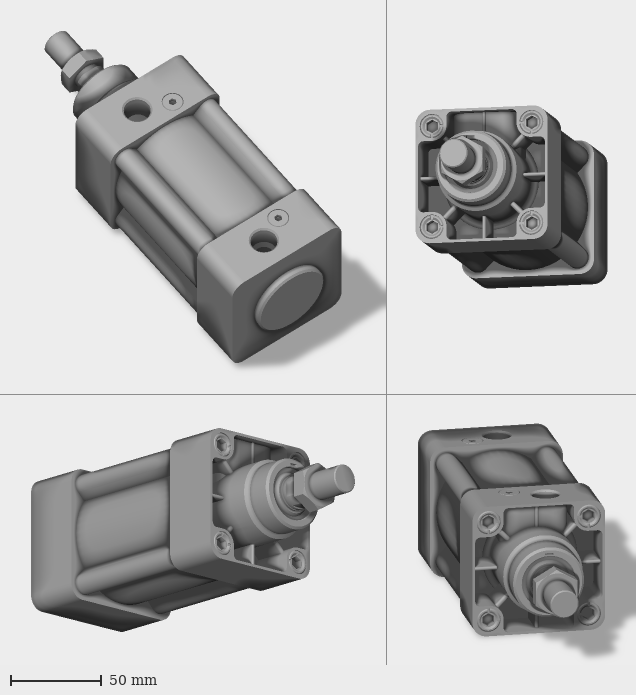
import cadquery as cq
import math


overall_length = 219.0
nut_front = 20.5
nut_thickness = 8.0
flats_start = 32.0
flats_end = 38.0
wiper_face = 40.3
hub_face = 41.6
hub_cone_start = 55.6
hub_cone_end = 57.8
front_cap_start = 68.8
cap_length = 32.8
rear_boss_length = 4.5
front_cap_end = front_cap_start + cap_length
rear_cap_end = overall_length - rear_boss_length
rear_cap_start = rear_cap_end - cap_length

cap_side = 75.0
cap_corner_radius = 8.0
hub_diameter = 45.0
hub_nose_diameter = 40.0
hub_chamfer = 1.3
rear_boss_chamfer = 1.0

pocket_wall = 1.5
pocket_depth = 24.5
pocket_corner_radius = 2.8
pad_radius = 8.3
floor_groove_radius = 2.2
straight_rib_thickness = 2.0
diagonal_rib_thickness = 2.8
rib_setback = 5.3
port_block_setback = 6.4
port_block_half_width = 19.0
port_block_edge_radius = port_block_half_width / 2
pocket_half = cap_side / 2 - pocket_wall
pocket_floor = front_cap_start + pocket_depth

tube_diameter = 68.0
tie_rod_diameter = 12.3
bolt_offset = 28.3

bolt_recess_diameter = 13.5
bolt_head_diameter = 12.0
bolt_recess_depth = 0.9
bolt_mark_width = 1.3
socket_mouth_diameter = 10.5
socket_seat_diameter = 8.3
bolt_socket_flats = 6.5
socket_mouth_depth = (socket_mouth_diameter - socket_seat_diameter) / 2
bolt_socket_depth = 5.5

port_mouth_diameter = 16.9
port_diameter = 15.0
port_from_cap_start = 16.6
port_mouth_chamfer = (port_mouth_diameter - port_diameter) / 2
front_port_y = -7.2
rear_port_y = -3.7
rear_port_step_depth = 12.0
rear_port_inner_diameter = 11.0
cushion_bore_diameter = 20.0
cushion_bore_start = rear_cap_start + 3.3

screw_y = 11.5
screw_port_gap = 7.5
screw_hole_diameter = 12.0
screw_diameter = 11.0
screw_groove_depth = 0.7
screw_socket_flats = 4.0
screw_socket_depth = 2.2

hub_recess_diameter = 30.0
hub_recess_depth = 2.2
hub_recess_chamfer = 0.5
key_notch_width = 4.8
key_notch_height = 1.3
key_notch_z = 16.5
key_notch_depth = 1.8
wiper_diameter = 20.0
wiper_shoulder_diameter = 22.3
wiper_base_diameter = 25.0

thread_diameter = 16.0
thread_chamfer = 0.7
flats_across = 17.0
rod_diameter = 19.0
rod_end = front_cap_end
nut_across_flats = 23.5
nut_corners = nut_across_flats / math.cos(math.pi / 6)
nut_chamfer_length = 1.0


def cylinder(x_start, x_end, diameter, y=0, z=0):
    """Cylinder parallel to X."""
    start = cq.Vector(x_start, y, z)
    return cq.Workplane(cq.Solid.makeCylinder(diameter / 2, x_end - x_start, start, cq.Vector(1, 0, 0)))


def cone(x_start, x_end, start_diameter, end_diameter, y=0, z=0):
    """Cone parallel to X."""
    start = cq.Vector(x_start, y, z)
    length = x_end - x_start
    return cq.Workplane(
        cq.Solid.makeCone(start_diameter / 2, end_diameter / 2, length, start, cq.Vector(1, 0, 0))
    )


def section(x):
    """Workplane across the axis at x, with local x along +Y and local y along +Z."""
    return cq.Workplane("YZ", origin=(x, 0, 0))


def top_cylinder(x, y, z_top, depth, diameter):
    """Vertical cylinder hanging down from z_top."""
    return cq.Workplane("XY", origin=(x, y, z_top - depth)).circle(diameter / 2).extrude(depth)


def top_cone(x, y, z_top, depth, top_diameter, bottom_diameter):
    """Vertical cone hanging down from z_top."""
    start = cq.Vector(x, y, z_top)
    return cq.Workplane(
        cq.Solid.makeCone(top_diameter / 2, bottom_diameter / 2, depth, start, cq.Vector(0, 0, -1))
    )


def bolt_places():
    """The (y, z) centres of the four tie rods."""
    return [(sy * bolt_offset, sz * bolt_offset) for sy in (-1, 1) for sz in (-1, 1)]


def cap_block(x_start):
    """Square end cap with rounded long edges."""
    block = section(x_start).rect(cap_side, cap_side).extrude(cap_length)
    return block.edges("|X").fillet(cap_corner_radius)


def pocket():
    """Cross-shaped cavity that leaves a rounded pad around each bolt."""
    cavity = section(front_cap_start).rect(2 * pocket_half, 2 * pocket_half).extrude(pocket_depth)
    pad_edge = bolt_offset - pad_radius
    pad_size = pocket_half - pad_edge
    pad_middle = pad_edge + pad_size / 2
    for y_sign in (-1, 1):
        for z_sign in (-1, 1):
            pad = (
                section(front_cap_start)
                .center(y_sign * pad_middle, z_sign * pad_middle)
                .rect(pad_size, pad_size)
                .extrude(pocket_depth)
            )
            inner_edge = ("<Y" if y_sign > 0 else ">Y", "<Z" if z_sign > 0 else ">Z")
            pad = pad.faces(inner_edge[0]).edges(inner_edge[1]).fillet(pad_radius - 0.2)
            cavity = cavity.cut(pad)
    corners = [edge for edge in cavity.edges("|X").vals() if is_wall_corner(edge)]
    return cavity.newObject(corners).fillet(pocket_corner_radius)


def is_wall_corner(edge):
    """True for a pocket edge where a bolt pad meets the outer wall."""
    middle = edge.Center()
    pad_edge = bolt_offset - pad_radius
    spans = sorted((abs(middle.y), abs(middle.z)))
    return abs(spans[0] - pad_edge) < 0.01 and abs(spans[1] - pocket_half) < 0.02


def port_block():
    """Rounded block in the top of the pocket that carries the front port."""
    x_start = front_cap_start + port_block_setback
    block = cq.Workplane("XY").box(
        front_cap_end - x_start, 2 * port_block_half_width, pocket_half, centered=(False, True, False)
    )
    return block.edges("<X and |Z").fillet(port_block_edge_radius).translate((x_start, 0, 0))


def ribs():
    """Eight round-nosed ribs from the hub to the pocket walls and bolt pads."""
    straight_length = pocket_half + pocket_wall / 2
    diagonal_length = bolt_offset * math.sqrt(2) - pad_radius + 0.5
    all_ribs = []
    for step in range(8):
        diagonal = step % 2 == 1
        length = diagonal_length if diagonal else straight_length
        thickness = diagonal_rib_thickness if diagonal else straight_rib_thickness
        x_nose = front_cap_start + rib_setback + thickness / 2
        web = cq.Workplane("XY").box(pocket_floor - x_nose, length, thickness, centered=(False, False, True))
        nose = cq.Workplane("XZ").circle(thickness / 2).extrude(-length)
        rib = web.union(nose).translate((x_nose, 0, 0))
        all_ribs.append(rib.rotate((0, 0, 0), (1, 0, 0), 45 * step))
    return all_ribs


def floor_groove():
    """Round-bottomed ring groove in the pocket floor around the hub."""
    middle = hub_diameter / 2 + floor_groove_radius
    return (
        cq.Workplane("XY", origin=(pocket_floor, middle, 0))
        .circle(floor_groove_radius)
        .revolve(360, (0, -middle, 0), (1, -middle, 0))
    )


def hub():
    """Stepped hub of the front cap, running through to the back of the cap."""
    nose_radius = hub_nose_diameter / 2
    radius = hub_diameter / 2
    return (
        cq.Workplane("XY")
        .moveTo(hub_face, 0)
        .lineTo(hub_face, nose_radius - hub_chamfer)
        .lineTo(hub_face + hub_chamfer, nose_radius)
        .lineTo(hub_cone_start, nose_radius)
        .lineTo(hub_cone_end, radius)
        .lineTo(front_cap_end, radius)
        .lineTo(front_cap_end, 0)
        .close()
        .revolve(360, (0, 0, 0), (1, 0, 0))
    )


def hub_recess():
    """Seat in the hub face around the wiper lip, with a key notch above it."""
    x_floor = hub_face + hub_recess_depth
    mouth_diameter = hub_recess_diameter + 2 * hub_recess_chamfer
    seat = cylinder(hub_face, x_floor, hub_recess_diameter)
    seat = seat.union(cone(hub_face, hub_face + hub_recess_chamfer, mouth_diameter, hub_recess_diameter))
    seat = seat.cut(cone(hub_face, x_floor, wiper_shoulder_diameter, wiper_base_diameter))
    notch = cq.Workplane("XY").box(
        key_notch_depth, key_notch_width, key_notch_height, centered=(False, True, True)
    )
    return seat.union(notch.translate((hub_face, 0, key_notch_z)))


def hexagon(workplane, across_flats):
    """Hexagon drawn on a workplane, with two corners on its local x direction."""
    return workplane.polygon(6, across_flats / math.cos(math.pi / 6))


def bolt_recess(y, z):
    """Cutters for one bolt: groove around the tapered head, socket, and two marks on the inner side."""
    x_groove = front_cap_start + bolt_recess_depth
    groove = cylinder(front_cap_start, x_groove, bolt_recess_diameter, y, z)
    groove = groove.cut(cone(front_cap_start, x_groove, bolt_head_diameter, bolt_recess_diameter, y, z))
    x_mouth = front_cap_start + socket_mouth_depth
    mouth = cone(front_cap_start, x_mouth, socket_mouth_diameter, socket_seat_diameter, y, z)
    socket = hexagon(section(front_cap_start), bolt_socket_flats).extrude(bolt_socket_depth)
    socket = socket.rotate((0, 0, 0), (1, 0, 0), 90).translate((0, y, z))
    reach = bolt_recess_diameter / 2
    marks = section(front_cap_start).pushPoints([(y - math.copysign(reach / 2, y), z)])
    marks = marks.rect(reach, bolt_mark_width).extrude(bolt_recess_depth)
    upright_mark = section(front_cap_start).center(y, z - math.copysign(reach / 2, z))
    marks = marks.union(upright_mark.rect(bolt_mark_width, reach).extrude(bolt_recess_depth))
    return groove, mouth, socket, marks


def adjusting_screw(x):
    """Cutters for one flush screw: groove around its tapered edge, hexagon socket and drill tip."""
    z_top = cap_side / 2
    groove = top_cylinder(x, screw_y, z_top, screw_groove_depth, screw_hole_diameter)
    groove = groove.cut(top_cone(x, screw_y, z_top, screw_groove_depth, screw_diameter, screw_hole_diameter))
    top = cq.Workplane("XY", origin=(x, screw_y, z_top))
    socket = hexagon(top, screw_socket_flats).extrude(-screw_socket_depth)
    socket = socket.rotate((x, screw_y, 0), (x, screw_y, 1), 90)
    tip_depth = screw_socket_flats / 2
    tip = top_cone(x, screw_y, z_top - screw_socket_depth, tip_depth, screw_socket_flats, 0)
    return groove, socket, tip


def front_port():
    """Chamfered port that ends on the outside of the hub."""
    x = front_cap_start + port_from_cap_start
    z_top = cap_side / 2
    drill = top_cylinder(x, front_port_y, z_top, z_top, port_diameter)
    drill = drill.union(
        top_cone(x, front_port_y, z_top, port_mouth_chamfer, port_mouth_diameter, port_diameter)
    )
    return drill.cut(cylinder(front_cap_start, front_cap_end, hub_diameter))


def rear_port():
    """Stepped port that drops into the blind cushion bore of the rear cap."""
    x = rear_cap_start + port_from_cap_start
    z_top = cap_side / 2
    z_step = z_top - rear_port_step_depth
    step_cone_depth = (port_diameter - rear_port_inner_diameter) / 2
    drill = top_cylinder(x, rear_port_y, z_top, rear_port_step_depth, port_diameter)
    drill = drill.union(
        top_cone(x, rear_port_y, z_top, port_mouth_chamfer, port_mouth_diameter, port_diameter)
    )
    drill = drill.union(
        top_cone(x, rear_port_y, z_step, step_cone_depth, port_diameter, rear_port_inner_diameter)
    )
    drill = drill.union(top_cylinder(x, rear_port_y, z_top, z_top, rear_port_inner_diameter))
    return drill.union(cylinder(cushion_bore_start, x, cushion_bore_diameter))


def tube():
    """Cylinder tube with four radial lobes that carry the tie rods."""
    length = rear_cap_start - front_cap_end
    body = cylinder(front_cap_end, rear_cap_start, tube_diameter)
    reach = bolt_offset * math.sqrt(2)
    for y, z in bolt_places():
        web = cq.Workplane("XY").box(length, reach, tie_rod_diameter, centered=(False, False, True))
        web = web.rotate((0, 0, 0), (1, 0, 0), math.degrees(math.atan2(z, y)))
        body = body.union(web.translate((front_cap_end, 0, 0)))
        body = body.union(cylinder(front_cap_end, rear_cap_start, tie_rod_diameter, y, z))
    return body


def make_housing():
    """Tube, both caps, hub and rear boss as one solid with a blind bore for the rod."""
    front = cap_block(front_cap_start).cut(pocket()).cut(floor_groove())
    front = front.union(port_block())
    for rib in ribs():
        front = front.union(rib)
    front = front.union(hub())
    front = front.cut(front_port())
    for y, z in bolt_places():
        for cutter in bolt_recess(y, z):
            front = front.cut(cutter)
    front = front.cut(hub_recess()).union(cylinder(wiper_face, front_cap_end, wiper_diameter))

    boss = cylinder(rear_cap_end, overall_length, hub_diameter).faces(">X").chamfer(rear_boss_chamfer)
    rear = cap_block(rear_cap_start).union(boss).cut(rear_port())

    for cutter in adjusting_screw(front_cap_start + port_from_cap_start + screw_port_gap):
        front = front.cut(cutter)
    for cutter in adjusting_screw(rear_cap_start + port_from_cap_start - screw_port_gap):
        rear = rear.cut(cutter)

    body = front.union(tube()).union(rear)
    return body.cut(cylinder(wiper_face, rod_end, rod_diameter))


def nut():
    """Hexagon nut with corners up and down and a chamfered front."""
    prism = hexagon(section(nut_front), nut_across_flats).extrude(nut_thickness)
    prism = prism.rotate((0, 0, 0), (1, 0, 0), 90)
    envelope = cone(nut_front, nut_front + nut_chamfer_length, nut_across_flats, nut_corners).union(
        cylinder(nut_front + nut_chamfer_length, nut_front + nut_thickness, nut_corners)
    )
    return prism.intersect(envelope)


def make_rod():
    """Piston rod with threaded end, lock nut and four wrench flats."""
    thread = cylinder(0, flats_start, thread_diameter).faces("<X").chamfer(thread_chamfer)
    square = section(flats_start).rect(flats_across, flats_across).extrude(flats_end - flats_start)
    flats = cylinder(flats_start, flats_end, rod_diameter).intersect(square)
    shank = cylinder(flats_end, rod_end, rod_diameter)
    return thread.union(nut()).union(flats).union(shank)


housing = make_housing()
rod = make_rod()
result = cq.Compound.makeCompound([*housing.vals(), *rod.vals()])